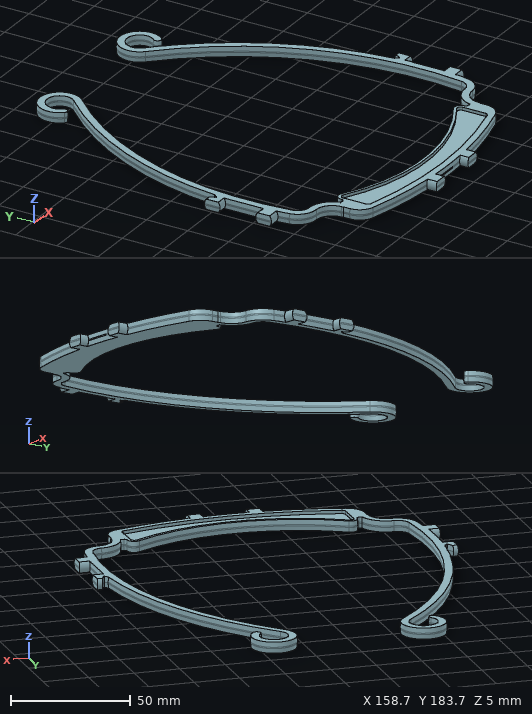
import cadquery as cq
import math

LENGTH = 183.7
WIDTH = 158.7
THICKNESS = 5.0
HALF_THICKNESS = THICKNESS / 2
DRAFT_ANGLE = 5.0
BAND_HEIGHT = 0.5

ARM_WIDTH = 4.0
ARM_RADIUS = 152.6
ARM_CENTER = (79.9, 59.5)
HOOK_RADIUS = 7.9
HOOK_TOP_Y = LENGTH
HOOK_TIP_ANGLE = 222.0
ELBOW_RADIUS = 7.2
ELBOW_START_ANGLE = 187.9
SHOULDER_RADIUS = 9.5

PLATE_HALF_WIDTH = 56.4
PLATE_BOTTOM_Y = 3.9
PLATE_BOTTOM_RADIUS = 183.7
PLATE_TOP_Y = 16.5
PLATE_TOP_RADIUS = 89.5
PLATE_CORNER_RADIUS = 8.3
LOBE_HALF_WIDTH = 50.7
LOBE_CORNER_RADIUS = 3.1
NOTCH_Y = 25.3
NOTCH_CORNER_RADIUS = 1.0

POCKET_LIP = 1.7
POCKET_BOTTOM_LIP = 3.3
POCKET_CORNER_RADIUS = 1.7
POCKET_DEPTH = 1.5

TAB_WIDTH = 7.7
TAB_BULGE = 1.0
BASE_TAB_X = 13.0
BASE_TAB_LENGTH = 5.5
SIDE_TAB_CENTERS_Y = (47.2, 72.2)
SIDE_TAB_ROOT_X = 72.5
SIDE_WALL_X = 74.8
TAB_NOTCH_X = 75.3
TAB_NOTCH_RUN = 1.8
TAB_NOTCH_DEPTH = 3.3


def on_circle(center, radius, angle):
    """Point on a circle at an angle in degrees."""
    turn = math.radians(angle)
    return (center[0] + radius * math.cos(turn), center[1] + radius * math.sin(turn))


def arc_height(radius, half_chord):
    """Rise of an arc from its middle to a point half_chord to the side."""
    return radius - math.sqrt(radius**2 - half_chord**2)


def drafted(outline):
    """Turn a closed outline into a slab with an upright middle band and drafted walls."""
    half_band = BAND_HEIGHT / 2
    wire = outline.wires().val()
    band = cq.Workplane("XY").add(wire).toPending().extrude(half_band)
    drafted_wall = cq.Workplane("XY").add(wire).toPending()
    drafted_wall = drafted_wall.extrude(HALF_THICKNESS - half_band, taper=DRAFT_ANGLE)
    upper = band.union(drafted_wall.translate((0, 0, half_band)))
    return upper.union(upper.mirror("XY"))


def both_sides(left):
    return left.union(left.mirror("YZ"))


def left_arm():
    """Hook, bowed arm, elbow and shoulder as one rounded stroke of constant width."""
    hook_y = HOOK_TOP_Y - HOOK_RADIUS - ARM_WIDTH / 2
    reach = ARM_RADIUS + HOOK_RADIUS
    hook_angle = 180 - math.degrees(math.asin((hook_y - ARM_CENTER[1]) / reach))
    hook_center = on_circle(ARM_CENTER, reach, hook_angle)
    elbow_center = on_circle(ARM_CENTER, ARM_RADIUS - ELBOW_RADIUS, ELBOW_START_ANGLE)
    shoulder_center = (elbow_center[0], elbow_center[1] - ELBOW_RADIUS - SHOULDER_RADIUS)

    hook_end_angle = hook_angle - 180
    hook_middle_angle = (HOOK_TIP_ANGLE + hook_end_angle) / 2
    arm_middle_angle = (hook_angle + ELBOW_START_ANGLE) / 2
    elbow_middle_angle = (ELBOW_START_ANGLE + 270) / 2
    path = (
        cq.Workplane("XY")
        .moveTo(*on_circle(hook_center, HOOK_RADIUS, HOOK_TIP_ANGLE))
        .threePointArc(
            on_circle(hook_center, HOOK_RADIUS, hook_middle_angle),
            on_circle(hook_center, HOOK_RADIUS, hook_end_angle),
        )
        .threePointArc(
            on_circle(ARM_CENTER, ARM_RADIUS, arm_middle_angle),
            on_circle(ARM_CENTER, ARM_RADIUS, ELBOW_START_ANGLE),
        )
        .threePointArc(
            on_circle(elbow_center, ELBOW_RADIUS, elbow_middle_angle),
            on_circle(elbow_center, ELBOW_RADIUS, 270),
        )
        .threePointArc(
            on_circle(shoulder_center, SHOULDER_RADIUS, 45),
            on_circle(shoulder_center, SHOULDER_RADIUS, 0),
        )
    )
    return drafted(path.offset2D(ARM_WIDTH / 2))


def crescent(half_width, bottom_y, bottom_radius, top_y, top_radius):
    """Solid between two upward-curving arcs with upright ends, from Z = 0 to the top face."""
    bottom_end_y = bottom_y + arc_height(bottom_radius, half_width)
    top_end_y = top_y + arc_height(top_radius, half_width)
    return (
        cq.Workplane("XY")
        .moveTo(-half_width, top_end_y)
        .threePointArc((0, top_y), (half_width, top_end_y))
        .lineTo(half_width, bottom_end_y)
        .threePointArc((0, bottom_y), (-half_width, bottom_end_y))
        .close()
        .extrude(HALF_THICKNESS)
    )


def base_plate():
    """Crescent plate with rounded lobes on top and wide shoulders that carry the arms."""
    body_bottom_y = PLATE_BOTTOM_Y + POCKET_BOTTOM_LIP
    body = crescent(LOBE_HALF_WIDTH, body_bottom_y, PLATE_BOTTOM_RADIUS, PLATE_TOP_Y, PLATE_TOP_RADIUS)
    body = body.edges("|Z and >Y").fillet(LOBE_CORNER_RADIUS)
    corner_y = PLATE_BOTTOM_Y + arc_height(PLATE_BOTTOM_RADIUS, PLATE_HALF_WIDTH)
    shoulders = (
        cq.Workplane("XY")
        .moveTo(-PLATE_HALF_WIDTH, NOTCH_Y)
        .lineTo(-PLATE_HALF_WIDTH, corner_y)
        .threePointArc((0, PLATE_BOTTOM_Y), (PLATE_HALF_WIDTH, corner_y))
        .lineTo(PLATE_HALF_WIDTH, NOTCH_Y)
        .lineTo(LOBE_HALF_WIDTH, NOTCH_Y)
        .lineTo(0, PLATE_BOTTOM_Y + PLATE_CORNER_RADIUS)
        .lineTo(-LOBE_HALF_WIDTH, NOTCH_Y)
        .close()
        .extrude(HALF_THICKNESS)
    )
    shoulders = shoulders.edges("|Z and (<X or >X)").edges("<Y").fillet(PLATE_CORNER_RADIUS)
    plate = body.union(shoulders)
    for side in (-1, 1):
        corner = (side * LOBE_HALF_WIDTH, NOTCH_Y, HALF_THICKNESS / 2)
        plate = plate.edges(cq.NearestToPointSelector(corner)).fillet(NOTCH_CORNER_RADIUS)
    return drafted(plate.faces("<Z"))


def pocket():
    cutter = crescent(
        LOBE_HALF_WIDTH - POCKET_LIP,
        PLATE_BOTTOM_Y + POCKET_BOTTOM_LIP,
        PLATE_BOTTOM_RADIUS - POCKET_BOTTOM_LIP,
        PLATE_TOP_Y - POCKET_LIP,
        PLATE_TOP_RADIUS + POCKET_LIP,
    )
    cutter = cutter.edges("|Z").fillet(POCKET_CORNER_RADIUS)
    return cutter.translate((0, 0, HALF_THICKNESS - POCKET_DEPTH))


def tab(length):
    """Bar toward -Y with outward-bowed sides; its drafted tip touches the origin."""
    flat = TAB_WIDTH / 2 - TAB_BULGE
    bar = (
        cq.Workplane("XZ")
        .moveTo(-flat, -HALF_THICKNESS)
        .lineTo(flat, -HALF_THICKNESS)
        .threePointArc((TAB_WIDTH / 2, 0), (flat, HALF_THICKNESS))
        .lineTo(-flat, HALF_THICKNESS)
        .threePointArc((-TAB_WIDTH / 2, 0), (-flat, -HALF_THICKNESS))
        .close()
        .extrude(-length)
    )
    envelope = drafted(cq.Workplane("XY").rect(2 * TAB_WIDTH, 4 * length))
    return bar.intersect(envelope.translate((0, 2 * length, 0)))


def left_base_tab():
    return tab(BASE_TAB_LENGTH).translate((-BASE_TAB_X, 0, 0))


def left_side_tabs():
    """Two tabs outside the arm, the wall that joins them, and the V notch behind the upper one."""
    first_y, last_y = SIDE_TAB_CENTERS_Y
    wall_thickness = SIDE_WALL_X - SIDE_TAB_ROOT_X
    wall = drafted(cq.Workplane("XY").rect(wall_thickness, last_y - first_y))
    tabs = wall.translate((-SIDE_WALL_X + wall_thickness / 2, (first_y + last_y) / 2, 0))
    for center_y in SIDE_TAB_CENTERS_Y:
        side_tab = tab(WIDTH / 2 - SIDE_TAB_ROOT_X).rotate((0, 0, 0), (0, 0, 1), -90)
        tabs = tabs.union(side_tab.translate((-WIDTH / 2, center_y, 0)))

    top_y = last_y + TAB_WIDTH / 2
    notch = (
        cq.Workplane("XY")
        .moveTo(-TAB_NOTCH_X, top_y - TAB_NOTCH_DEPTH)
        .lineTo(-TAB_NOTCH_X - TAB_NOTCH_RUN, top_y)
        .lineTo(-SIDE_TAB_ROOT_X, top_y)
        .close()
        .extrude(HALF_THICKNESS, taper=-DRAFT_ANGLE)
    )
    return tabs.cut(notch).cut(notch.mirror("XY"))


left_parts = left_arm().union(left_side_tabs()).union(left_base_tab())
result = base_plate().union(both_sides(left_parts)).cut(pocket())